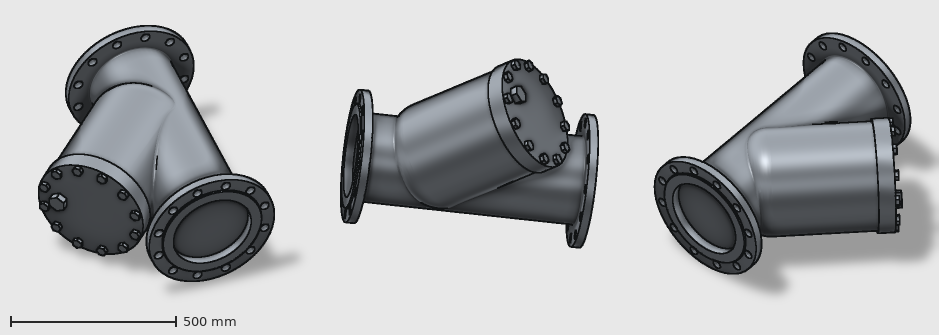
import cadquery as cq
import math

overall_length = 730.0
pipe_diameter = 270.0
flange_diameter = 405.0
flange_thickness = 26.0
raised_face_diameter = 318.0
raised_face_height = 5.0
raised_face_taper = 2.0
neck_fillet = 5.0
bore_diameter = 251.0
bore_depth = 28.0
flange_hole_diameter = 28.0
flange_hole_circle = 354.0
flange_hole_count = 12

pipe_end = overall_length / 2
plain_pipe_length = overall_length - 2 * (raised_face_height + flange_thickness + neck_fillet)

branch_angle = math.radians(45)
branch_direction = cq.Vector(math.cos(branch_angle), -math.sin(branch_angle), 0)
branch_cross_direction = cq.Vector(math.sin(branch_angle), math.cos(branch_angle), 0)
branch_start = cq.Vector(-166.0, 0, 0)
branch_diameter = 333.0
dome_radius = 92.0
dome_rim = 68.5
junction_fillet = 7.0

gasket_start = 387.5
gasket_thickness = 3.0
cover_diameter = 348.0
cover_thickness = 49.0
cover_start = gasket_start + gasket_thickness
cover_end = cover_start + cover_thickness
bolt_count = 12
bolt_circle = 312.5
bolt_across_corners = 32.0
bolt_head_height = 12.5

plug_across_corners = 55.5
plug_height = 22.0
plug_offset = 104.0


def pipe_plane(x):
    """Plane across the pipe axis, with its normal along +X."""
    return cq.Plane(origin=(x, 0, 0), xDir=(0, 1, 0), normal=(1, 0, 0))


def branch_plane(distance):
    """Plane across the branch axis: local X is horizontal, local Y is up, the normal points outward."""
    return cq.Plane(
        origin=branch_start + branch_direction * distance,
        xDir=branch_cross_direction,
        normal=branch_direction,
    )


def disc(plane, diameter, height):
    return cq.Workplane(plane).circle(diameter / 2).extrude(height)


def hex_head(plane, x, y, across_corners, height, corner_angle):
    """Hexagonal head at local (x, y), with one corner pointing along corner_angle."""
    return (
        cq.Workplane(plane)
        .center(x, y)
        .transformed(rotate=(0, 0, corner_angle))
        .polygon(6, across_corners)
        .extrude(height)
    )


def end_flange():
    """Flange at the -X end of the pipe: tapered raised face, bolt holes, blind bore and neck fillet."""
    outer_radius = flange_diameter / 2
    pipe_radius = pipe_diameter / 2
    face_radius = raised_face_diameter / 2
    bore_radius = bore_diameter / 2
    outer_face = raised_face_height
    inner_face = outer_face + flange_thickness
    section = (
        cq.Workplane("XY")
        .moveTo(0, bore_radius)
        .lineTo(0, face_radius)
        .lineTo(outer_face, face_radius + raised_face_taper)
        .lineTo(outer_face, outer_radius)
        .lineTo(inner_face, outer_radius)
        .lineTo(inner_face, pipe_radius + neck_fillet)
        .radiusArc((inner_face + neck_fillet, pipe_radius), -neck_fillet)
        .lineTo(inner_face + neck_fillet, 0)
        .lineTo(bore_depth, 0)
        .lineTo(bore_depth, bore_radius)
        .close()
    )
    flange = section.revolve(360, (0, 0, 0), (1, 0, 0)).translate((-pipe_end, 0, 0))
    holes = (
        cq.Workplane(pipe_plane(-pipe_end))
        .polarArray(flange_hole_circle / 2, 180 / flange_hole_count, 360, flange_hole_count)
        .circle(flange_hole_diameter / 2)
        .extrude(inner_face)
    )
    return flange.cut(holes)


def pipe_and_branch():
    """Pipe joined to the domed branch, with a fillet along the junction."""
    pipe = disc(pipe_plane(-plain_pipe_length / 2), pipe_diameter, plain_pipe_length)
    dome_end = dome_rim - dome_radius
    branch = disc(branch_plane(dome_end), branch_diameter, gasket_start - dome_end)
    branch = branch.faces(cq.selectors.DirectionMinMaxSelector(branch_direction, False))
    branch = branch.edges().fillet(dome_radius)
    return pipe.union(branch).edges("%BSPLINE").fillet(junction_fillet)


def cover():
    """Gasket and cover plate with a ring of bolt heads and the drain plug."""
    assembly = disc(branch_plane(gasket_start), cover_diameter, gasket_thickness)
    assembly = assembly.union(disc(branch_plane(cover_start), cover_diameter, cover_thickness), clean=False)
    outer_face = branch_plane(cover_end)
    pitch = 360 / bolt_count
    for index in range(bolt_count):
        angle = (index + 0.5) * pitch
        x = bolt_circle / 2 * math.cos(math.radians(angle))
        y = bolt_circle / 2 * math.sin(math.radians(angle))
        bolt = hex_head(outer_face, x, y, bolt_across_corners, bolt_head_height, angle + pitch / 2)
        assembly = assembly.union(bolt, clean=False)
    plug = hex_head(outer_face, -plug_offset, 0, plug_across_corners, plug_height, 90)
    return assembly.union(plug, clean=False)


flange = end_flange()
body = pipe_and_branch().union(flange, clean=False).union(flange.mirror("YZ"), clean=False)
result = body.union(cover(), clean=False)